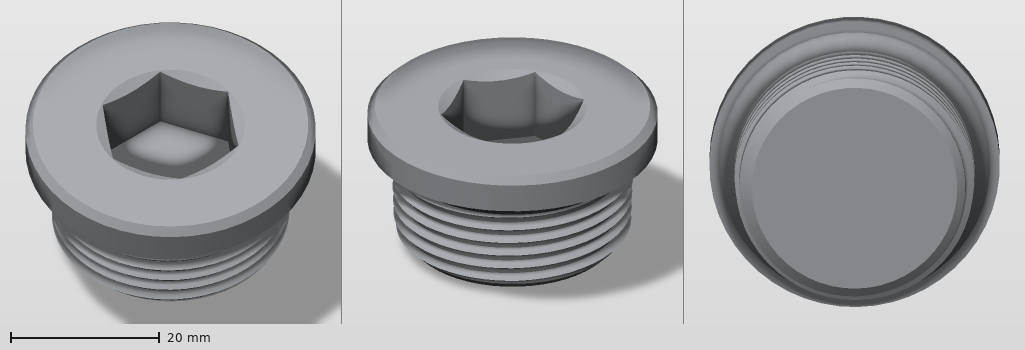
import cadquery as cq
import math

total_height = 20.0
head_diameter = 39.0
head_underside = 15.0
head_chamfer = 1.0

neck_bottom = 12.0
neck_angle = 45.0

shank_top_radius = 15.2
shank_half_angle = math.degrees(math.atan(1 / 32))
end_chamfer = 1.1

thread_pitch = 2.0
thread_depth = 1.05
thread_root_width = 1.3
thread_overlap = 0.1
first_crest = -0.95
thread_turns = 8

hex_across_flats = 17.0
socket_depth = 10.0
lead_in_diameter = 19.95
lead_in_angle = 120.0

head_radius = head_diameter / 2
neck_top_radius = shank_top_radius + (head_underside - neck_bottom) * math.tan(math.radians(neck_angle))


def shank_radius(z):
    return shank_top_radius - (neck_bottom - z) * math.tan(math.radians(shank_half_angle))


end_radius = shank_radius(end_chamfer) - end_chamfer


def revolve_profile(points):
    """Revolve a closed (radius, height) outline about the Z axis.

    The half turn puts the seam on the -X side, away from the start of the thread.
    """
    solid = cq.Workplane("XZ").polyline(points).close().revolve(360, (0, 0), (0, 1))
    return solid.rotate((0, 0, 0), (0, 0, 1), 180)


def make_body():
    return revolve_profile([
        (0, 0),
        (end_radius, 0),
        (shank_radius(end_chamfer), end_chamfer),
        (shank_top_radius, neck_bottom),
        (neck_top_radius, head_underside),
        (head_radius, head_underside),
        (head_radius, total_height - head_chamfer),
        (head_radius - head_chamfer, total_height),
        (0, total_height),
    ])


def make_thread():
    """Sweep a V-shaped ridge, then trim it to the end chamfer and the neck."""
    start_radius = shank_radius(first_crest)
    helix = cq.Wire.makeHelix(
        thread_pitch, thread_pitch * thread_turns, start_radius, angle=shank_half_angle
    ).translate(cq.Vector(0, 0, first_crest))
    flank_slope = thread_root_width / 2 / thread_depth
    sunk_half_width = (thread_depth + thread_overlap) * flank_slope
    ridge = (
        cq.Workplane("XZ")
        .polyline([
            (start_radius - thread_overlap, first_crest - sunk_half_width),
            (start_radius + thread_depth, first_crest),
            (start_radius - thread_overlap, first_crest + sunk_half_width),
        ])
        .close()
        .sweep(cq.Workplane(helix), isFrenet=True)
    )
    trim_radius = head_radius
    trim_envelope = revolve_profile([
        (0, 0),
        (end_radius, 0),
        (trim_radius, trim_radius - end_radius),
        (trim_radius, neck_bottom),
        (0, neck_bottom),
    ])
    return ridge.intersect(trim_envelope)


def make_socket():
    hex_corner_diameter = hex_across_flats / math.cos(math.pi / 6)
    hexagon = (
        cq.Workplane("XY", origin=(0, 0, total_height - socket_depth))
        .polygon(6, hex_corner_diameter)
        .extrude(socket_depth)
    )
    lead_in_radius = lead_in_diameter / 2
    lead_in_depth = lead_in_radius / math.tan(math.radians(lead_in_angle / 2))
    lead_in = revolve_profile([
        (0, total_height - lead_in_depth),
        (lead_in_radius, total_height),
        (0, total_height),
    ])
    return hexagon.union(lead_in)


result = make_body().union(make_thread()).cut(make_socket())